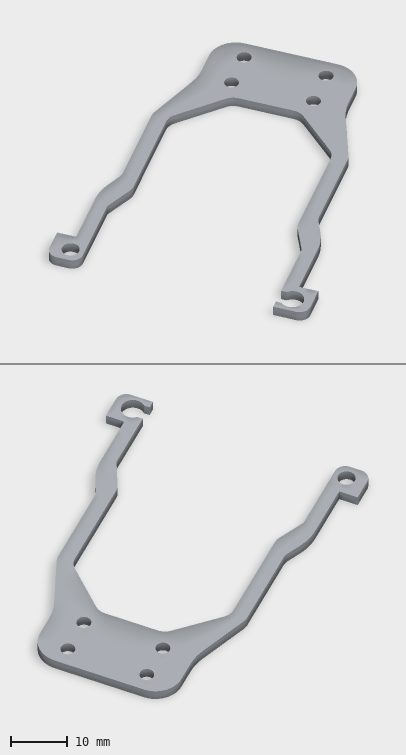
import cadquery as cq

length = 63.9
width = 48.5
thickness = 2.0

plate_half_width = 13.6
plate_corner_radius = 5.0
plate_side_end_y = 53.05
screw_hole_diameter = 2.6
screw_hole_x = 7.6
screw_hole_rows_y = (53.4, 60.4)

opening_top_y = 49.9
opening_top_half_width = 6.3
opening_shoulder_y = 41.3

upper_arm_outer_x = 18.2
upper_arm_inner_x = 15.3
outer_shoulder_y = 41.3
lower_arm_outer_x = 20.7
lower_arm_inner_x = 18.0
outer_jog_top_y = 24.3
outer_jog_bottom_y = 19.05
inner_jog_top_y = 21.5
inner_jog_bottom_y = 15.8

plate_side_radius = 10.0
outer_shoulder_radius = 3.0
opening_top_radius = 3.0
opening_shoulder_radius = 3.0
outer_jog_top_radius = 3.0
outer_jog_bottom_radius = 10.0
inner_jog_radius = 3.0

foot_outer_x = width / 2
foot_top_y = 6.4
left_foot_bottom_y = 0.2
foot_corner_radius = 2.0
pivot_x = 20.6
pivot_y = 2.95
pivot_hole_diameter = 3.2
hook_hole_diameter = 4.2
hook_mouth_width = 2.95


def arm_half(side, foot_bottom_y):
    """Half of the plate with its arm and foot; side is -1 for left, 1 for right."""
    points = [
        (0, length),
        (plate_half_width, length),
        (plate_half_width, plate_side_end_y),
        (upper_arm_outer_x, outer_shoulder_y),
        (upper_arm_outer_x, outer_jog_top_y),
        (lower_arm_outer_x, outer_jog_bottom_y),
        (lower_arm_outer_x, foot_top_y),
        (foot_outer_x, foot_top_y),
        (foot_outer_x, foot_bottom_y),
        (lower_arm_inner_x, foot_bottom_y),
        (lower_arm_inner_x, inner_jog_bottom_y),
        (upper_arm_inner_x, inner_jog_top_y),
        (upper_arm_inner_x, opening_shoulder_y),
        (opening_top_half_width, opening_top_y),
        (0, opening_top_y),
    ]
    half = cq.Workplane("XY").polyline([(side * x, y) for x, y in points]).close().extrude(thickness)

    bends = [
        (plate_half_width, length, plate_corner_radius),
        (plate_half_width, plate_side_end_y, plate_side_radius),
        (upper_arm_outer_x, outer_shoulder_y, outer_shoulder_radius),
        (upper_arm_outer_x, outer_jog_top_y, outer_jog_top_radius),
        (lower_arm_outer_x, outer_jog_bottom_y, outer_jog_bottom_radius),
        (foot_outer_x, foot_bottom_y, foot_corner_radius),
        (upper_arm_inner_x, inner_jog_top_y, inner_jog_radius),
        (upper_arm_inner_x, opening_shoulder_y, opening_shoulder_radius),
        (opening_top_half_width, opening_top_y, opening_top_radius),
    ]
    for x, y, radius in bends:
        half = round_corner(half, side * x, y, radius)
    return half


def round_corner(body, x, y, radius):
    """Fillet the upright edge at (x, y)."""
    corner = cq.selectors.NearestToPointSelector((x, y, thickness / 2))
    return body.edges("|Z").edges(corner).fillet(radius)


def through_holes(centres, diameter):
    return cq.Workplane("XY").pushPoints(centres).circle(diameter / 2).extrude(thickness)


left_half = arm_half(-1, left_foot_bottom_y)
left_half = round_corner(left_half, -lower_arm_inner_x, left_foot_bottom_y, foot_corner_radius)
right_half = arm_half(1, 0)
frame = left_half.union(right_half).clean()

screw_centres = [(side * screw_hole_x, y) for side in (-1, 1) for y in screw_hole_rows_y]
frame = frame.cut(through_holes(screw_centres, screw_hole_diameter))

frame = frame.cut(through_holes([(-pivot_x, pivot_y)], pivot_hole_diameter))

hook_mouth_length = pivot_x - lower_arm_inner_x
hook_mouth = (
    cq.Workplane("XY")
    .center(pivot_x - hook_mouth_length / 2, pivot_y)
    .rect(hook_mouth_length, hook_mouth_width)
    .extrude(thickness)
)
hook_hole = through_holes([(pivot_x, pivot_y)], hook_hole_diameter)
result = frame.cut(hook_hole.union(hook_mouth))